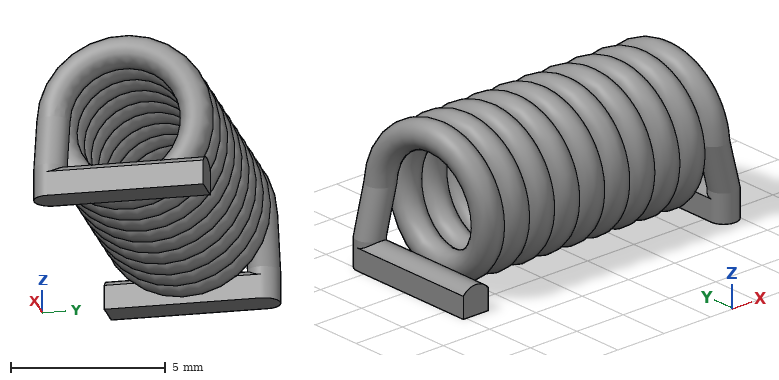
import cadquery as cq

wire_diameter = 1.08
coil_outer_diameter = 5.72
overall_length = 12.26
turns = 9.5
pitch = 1.082
foot_side_height = 0.82

wire_radius = wire_diameter / 2
coil_radius = (coil_outer_diameter - wire_diameter) / 2
axis_height = coil_outer_diameter / 2
coil_length = turns * pitch
coil_end_x = coil_length / 2
foot_x = overall_length / 2 - wire_radius
foot_height = wire_diameter


def make_coil():
    """Round wire wound from the +Y side at -X to the -Y side at +X."""
    path = cq.Wire.makeHelix(pitch, coil_length, coil_radius)
    path = path.rotate(cq.Vector(0, 0, 0), cq.Vector(1, 1, 1), 120)
    path = path.translate(cq.Vector(-coil_end_x, 0, axis_height))
    start_section = (
        cq.Workplane("XY", origin=(-coil_end_x, coil_radius, axis_height))
        .circle(wire_radius)
    )
    return start_section.sweep(cq.Workplane(obj=path), isFrenet=True)


def make_slanted_leg():
    """Leg that leans outward from the -X coil end down to the foot."""
    return (
        cq.Workplane("XY", origin=(-foot_x, coil_radius, foot_height))
        .circle(wire_radius)
        .workplane(offset=axis_height - foot_height)
        .center(foot_x - coil_end_x, 0)
        .circle(wire_radius)
        .loft(ruled=True)
    )


def make_foot():
    """Upright stub below the leg and the arched bar running across to -Y."""
    stub = (
        cq.Workplane("XY", origin=(-foot_x, coil_radius, 0))
        .circle(wire_radius)
        .extrude(foot_height)
    )
    bar = (
        cq.Workplane("XZ", origin=(-foot_x, coil_radius, 0))
        .moveTo(-wire_radius, 0)
        .lineTo(wire_radius, 0)
        .lineTo(wire_radius, foot_side_height)
        .threePointArc((0, foot_height), (-wire_radius, foot_side_height))
        .close()
        .extrude(coil_radius + coil_outer_diameter / 2)
    )
    return stub.union(bar)


start_terminal = make_slanted_leg().union(make_foot())
end_terminal = start_terminal.rotate((0, 0, 0), (0, 0, 1), 180)

result = make_coil().union(start_terminal).union(end_terminal)